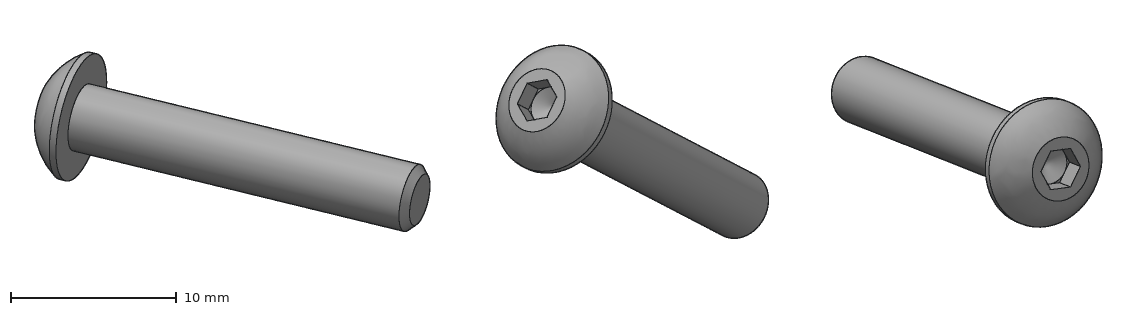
import cadquery as cq
import math

overall_length = 24.43
head_diameter = 7.92
head_height = 2.25
head_rim_thickness = 0.45
head_flat_diameter = 3.95
dome_bulge = 0.2
shank_diameter = 4.18
tip_chamfer = 0.5
socket_across_flats = 2.4
socket_depth = 1.32
drill_cone_angle = 120.0

head_face_x = -overall_length / 2
head_seat_x = head_face_x + head_height
tip_x = head_face_x + overall_length
rim_x = head_seat_x - head_rim_thickness
head_radius = head_diameter / 2
head_flat_radius = head_flat_diameter / 2
shank_radius = shank_diameter / 2


def make_body():
    """Revolve the half profile of the head and shank about the X axis."""
    dome_dx = rim_x - head_face_x
    dome_dr = head_radius - head_flat_radius
    chord = math.hypot(dome_dx, dome_dr)
    dome_middle = (
        (head_face_x + rim_x) / 2 - dome_bulge * dome_dr / chord,
        (head_flat_radius + head_radius) / 2 + dome_bulge * dome_dx / chord,
    )
    return (
        cq.Workplane("XY")
        .moveTo(head_face_x, 0)
        .lineTo(head_face_x, head_flat_radius)
        .threePointArc(dome_middle, (rim_x, head_radius))
        .lineTo(head_seat_x, head_radius)
        .lineTo(head_seat_x, shank_radius)
        .lineTo(tip_x - tip_chamfer, shank_radius)
        .lineTo(tip_x, shank_radius - tip_chamfer)
        .lineTo(tip_x, 0)
        .close()
        .revolve(360, (0, 0, 0), (1, 0, 0))
    )


def make_socket():
    """Hexagonal socket, corners on the Y axis, with a conical bottom."""
    across_corners = socket_across_flats / math.cos(math.pi / 6)
    hexagon = (
        cq.Workplane("YZ", origin=(head_face_x, 0, 0))
        .polygon(6, across_corners)
        .extrude(socket_depth)
    )
    cone_radius = socket_across_flats / 2
    cone_depth = cone_radius / math.tan(math.radians(drill_cone_angle / 2))
    cone_base_x = head_face_x + socket_depth
    cone = cq.Workplane(
        cq.Solid.makeCone(
            cone_radius, 0, cone_depth, cq.Vector(cone_base_x, 0, 0), cq.Vector(1, 0, 0)
        )
    )
    return hexagon.union(cone)


result = make_body().cut(make_socket())